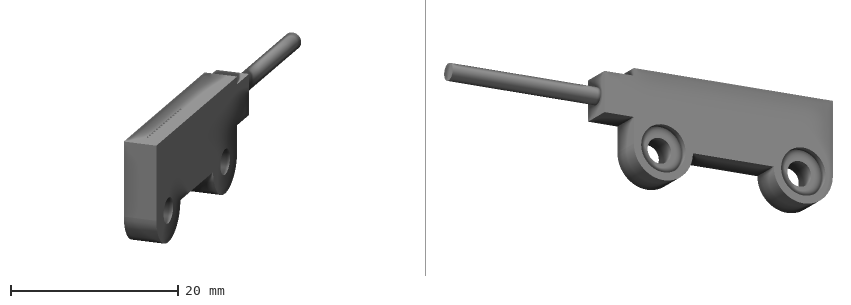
import cadquery as cq

total_length = 51.0
width = 4.2
height = 13.5

housing_length = 27.0
lug_diameter = 8.0
lug_radius = lug_diameter / 2
lug_hole_diameter = 3.2
counterbore_diameter = 6.0
counterbore_depth = 1.0

rear_block_length = 4.0
rear_block_height = 5.2
rear_block_drop = 0.95
cable_diameter = 2.2

pit_count = 15
pit_diameter = 0.265
pit_depth = 0.25
pit_row_length = 10.9
first_pit_offset = 2.55

lug_axis_z = lug_radius
lug_centers = [(lug_radius, lug_axis_z), (housing_length - lug_radius, lug_axis_z)]
rear_block_top = height - rear_block_drop
cable_axis_z = rear_block_top - rear_block_height / 2
rear_block_end = housing_length + rear_block_length
left_face_x = -width / 2


def side_plane(x):
    """Sketch plane with local axes along Y and Z, facing +X."""
    return cq.Workplane("YZ", origin=(x, 0, 0))


def make_housing():
    block_height = height - lug_axis_z
    block = cq.Workplane("XY").box(width, housing_length, block_height, centered=(True, False, False))
    block = block.translate((0, 0, lug_axis_z))
    lugs = side_plane(left_face_x).pushPoints(lug_centers).circle(lug_radius).extrude(width)
    return block.union(lugs)


def make_rear_block():
    block = cq.Workplane("XY").box(
        width, rear_block_length, rear_block_height, centered=(True, False, True)
    )
    return block.translate((0, housing_length, cable_axis_z))


def make_cable():
    cable_length = total_length - rear_block_end
    start = cq.Workplane("XZ", origin=(0, rear_block_end, cable_axis_z))
    return start.circle(cable_diameter / 2).extrude(-cable_length)


def make_lug_holes():
    holes = side_plane(left_face_x).pushPoints(lug_centers).circle(lug_hole_diameter / 2).extrude(width)
    counterbores = (
        side_plane(left_face_x)
        .pushPoints(lug_centers)
        .circle(counterbore_diameter / 2)
        .extrude(counterbore_depth)
    )
    return holes.union(counterbores)


def make_pits():
    pitch = pit_row_length / (pit_count - 1)
    centers = [(0, first_pit_offset + i * pitch) for i in range(pit_count)]
    top = cq.Workplane("XY", origin=(0, 0, height))
    return top.pushPoints(centers).circle(pit_diameter / 2).extrude(-pit_depth)


result = make_housing().union(make_rear_block()).union(make_cable())
result = result.cut(make_lug_holes()).cut(make_pits())